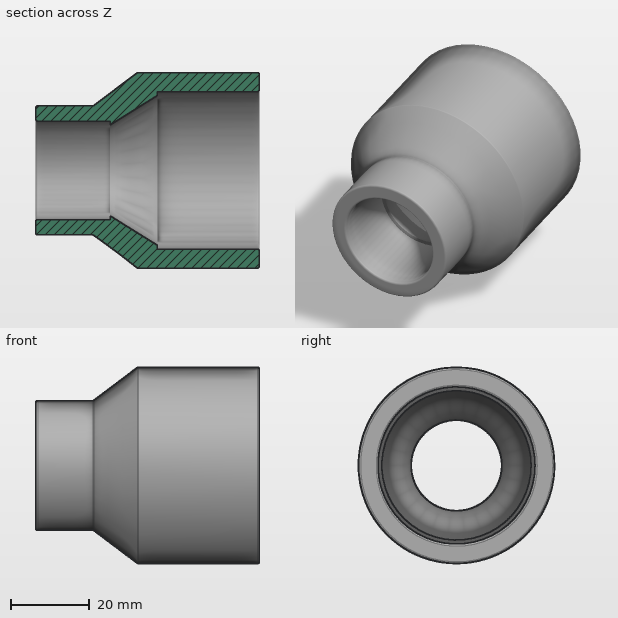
import cadquery as cq

total_length = 57.0
small_end_length = 14.7
cone_end = 26.0
edge_radius = 0.5

small_outer_diameter = 33.0
large_outer_diameter = 50.0

small_socket_diameter = 25.0
small_throat_diameter = 23.0
large_throat_diameter = 38.0
large_socket_diameter = 40.0
small_socket_depth = 19.0
large_socket_depth = 26.0
large_socket_start = total_length - large_socket_depth


def revolve_profile(points):
    """Revolve a closed (x, radius) outline about the X axis."""
    return cq.Workplane("XY").polyline(points).close().revolve(360, (0, 0, 0), (1, 0, 0))


def make_body():
    small_radius = small_outer_diameter / 2
    large_radius = large_outer_diameter / 2
    body = revolve_profile([
        (0, 0),
        (0, small_radius),
        (small_end_length, small_radius),
        (cone_end, large_radius),
        (total_length, large_radius),
        (total_length, 0),
    ])
    return body.edges("%CIRCLE").fillet(edge_radius)


def make_bore():
    return revolve_profile([
        (0, 0),
        (0, small_socket_diameter / 2),
        (small_socket_depth, small_socket_diameter / 2),
        (small_socket_depth, small_throat_diameter / 2),
        (large_socket_start, large_throat_diameter / 2),
        (large_socket_start, large_socket_diameter / 2),
        (total_length, large_socket_diameter / 2),
        (total_length, 0),
    ])


def round_socket_mouths(part):
    small_mouth = part.faces("<X").edges(cq.selectors.RadiusNthSelector(0))
    large_mouth = part.faces(">X").edges(cq.selectors.RadiusNthSelector(0))
    return part.newObject(small_mouth.vals() + large_mouth.vals()).fillet(edge_radius)


result = round_socket_mouths(make_body().cut(make_bore()))